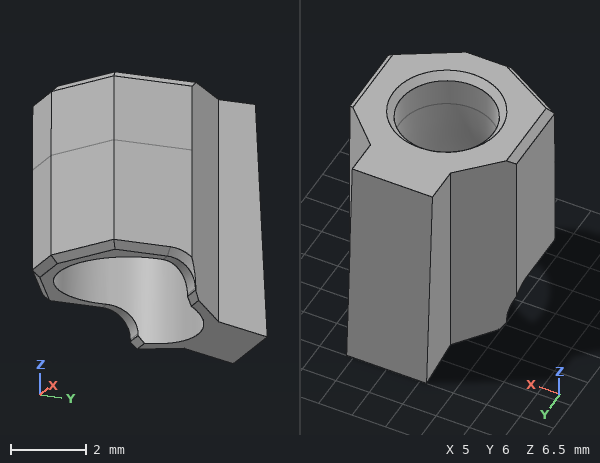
import cadquery as cq
import math

top_z = 6.5
face_distance = 2.5
edge_chamfer = 0.2
oblique_angle = 30
rear_corner_y = 0.8

draft_start_z = 4.5
draft_angle = 0.4

arm_half_width = 1.2
arm_back_y = 3.5
arm_back_angle = 3
base_angle = 10
lip_chamfer_drop = 0.2
lip_chamfer_run = 0.15

step_z = 1.5
step_wall_y = 0.98
cove_radius = 0.8

bore_radius = 1.4
lower_bore_radius = 2.0
flare_top_z = 5.47
flare_bottom_z = 2.95


def base_z(y):
    """Height of the sloping underside at a given Y."""
    return (arm_back_y - y) * math.tan(math.radians(base_angle))


def side_slab():
    """Block seen along X: leaning back, sloping underside and coved step."""
    back_top_y = arm_back_y - top_z * math.tan(math.radians(arm_back_angle))
    cove_y = step_wall_y - cove_radius
    cove_z = step_z - cove_radius
    cove_mid = cove_radius * math.sqrt(0.5)
    lip_y = step_wall_y + lip_chamfer_run
    return (
        cq.Workplane("YZ")
        .moveTo(-face_distance, top_z)
        .lineTo(back_top_y, top_z)
        .lineTo(arm_back_y, 0)
        .lineTo(lip_y, base_z(lip_y))
        .lineTo(step_wall_y, base_z(step_wall_y) + lip_chamfer_drop)
        .lineTo(step_wall_y, cove_z)
        .threePointArc((cove_y + cove_mid, cove_z + cove_mid), (cove_y, step_z))
        .lineTo(-face_distance, step_z)
        .close()
        .extrude(face_distance, both=True)
    )


def front_outline(inset):
    """Outline corners with every face but the rear and -X ones moved inward by inset."""
    distance = face_distance - inset
    oblique = math.radians(oblique_angle)

    def oblique_y(x):
        return (x * math.sin(oblique) - distance) / math.cos(oblique)

    front_x = distance * (1 - math.cos(oblique)) / math.sin(oblique)
    return [
        (-front_x, -distance),
        (front_x, -distance),
        (distance, oblique_y(distance)),
        (distance, arm_back_y),
        (-face_distance, arm_back_y),
        (-face_distance, oblique_y(face_distance)),
    ]


def front_prism():
    """Front and side faces: upright below, drafted above."""
    draft_height = top_z - draft_start_z
    top_inset = draft_height * math.tan(math.radians(draft_angle))
    lower = cq.Workplane("XY").polyline(front_outline(0)).close().extrude(draft_start_z)
    upper = (
        cq.Workplane("XY", origin=(0, 0, draft_start_z))
        .polyline(front_outline(0))
        .close()
        .workplane(offset=draft_height)
        .polyline(front_outline(top_inset))
        .close()
        .loft(ruled=True)
    )
    return lower.union(upper)


def chamfer_front(block):
    """Chamfer the top rim and the bottom rim, which runs on along the cove."""
    block = block.faces(">Z").edges("not >Y").chamfer(edge_chamfer)
    step_face = cq.selectors.NearestToPointSelector((0, -face_distance / 2, step_z))
    return block.faces(step_face).edges("not >Y").chamfer(edge_chamfer)


def rear_prism():
    """Narrows the rear with 45 degree faces down to the arm."""
    arm_root_y = rear_corner_y + face_distance - arm_half_width
    half_outline = [
        (face_distance, -face_distance),
        (face_distance, rear_corner_y),
        (arm_half_width, arm_root_y),
        (arm_half_width, arm_back_y),
    ]
    mirrored = [(-x, y) for x, y in reversed(half_outline)]
    return cq.Workplane("XY").polyline(half_outline + mirrored).close().extrude(top_z)


def bore():
    """Revolved bore with a chamfered mouth."""
    widening = lower_bore_radius - bore_radius
    flare_height = flare_top_z - flare_bottom_z
    flare_radius = (flare_height**2 + widening**2) / (2 * widening)
    mid_angle = math.asin(flare_height / flare_radius) / 2
    flare_mid = (
        bore_radius + flare_radius * (1 - math.cos(mid_angle)),
        flare_top_z - flare_radius * math.sin(mid_angle),
    )
    return (
        cq.Workplane("XZ")
        .lineTo(lower_bore_radius, 0)
        .lineTo(lower_bore_radius, flare_bottom_z)
        .threePointArc(flare_mid, (bore_radius, flare_top_z))
        .lineTo(bore_radius, top_z - edge_chamfer)
        .lineTo(bore_radius + edge_chamfer, top_z)
        .lineTo(0, top_z)
        .close()
        .revolve(360, (0, 0), (0, 1))
    )


block = side_slab().intersect(front_prism())
block = chamfer_front(block)
result = block.intersect(rear_prism()).cut(bore())